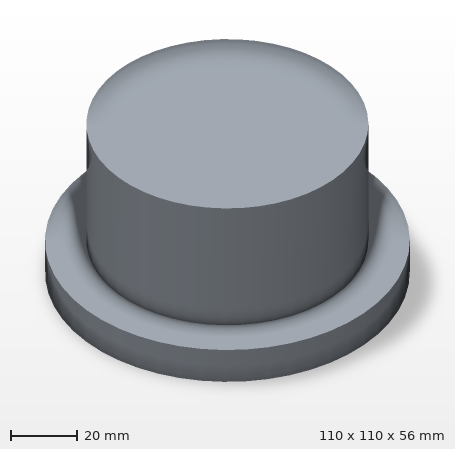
import cadquery as cq

flange_diameter = 110.0
flange_thickness = 12.0
boss_diameter = 85.0
total_height = 56.0
boss_height = total_height - flange_thickness

flange = cq.Workplane("XY").circle(flange_diameter / 2).extrude(flange_thickness)

result = flange.faces(">Z").workplane().circle(boss_diameter / 2).extrude(boss_height)